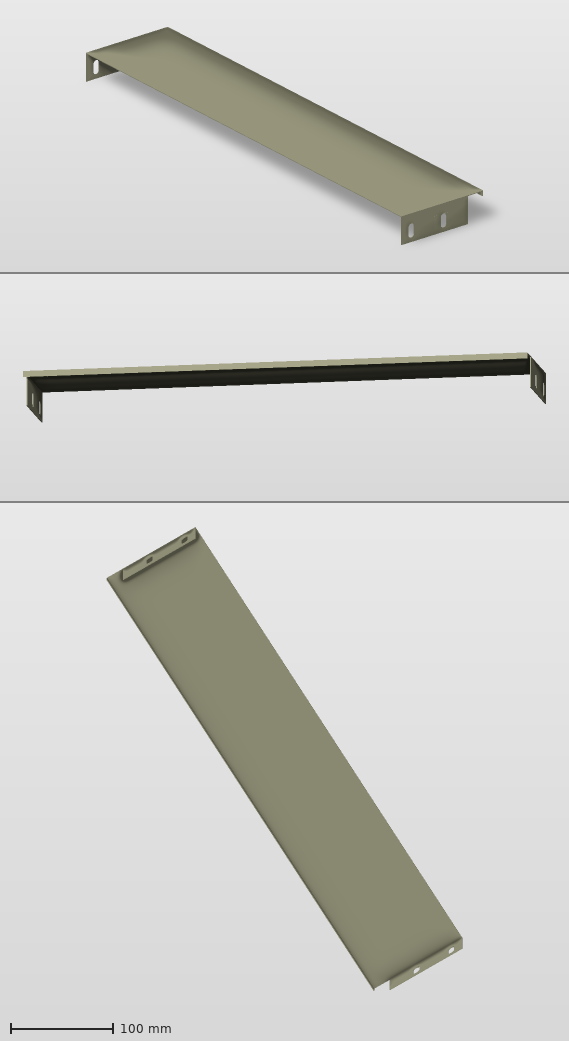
import cadquery as cq

sheet = 0.75
cover_length = 501.5
cover_width = 101.8
total_height = 30.8
lip_height = 6.0

flange_width = 83.0
slot_width = 7.0
slot_height = 15.0
front_slot_y = 12.5
slot_spacing = 40.0
slot_depth_from_top = 18.6

pad_thickness = 0.1
pad_width = 18.4
pad_height = 15.0
pad_centre_y = 50.0

slot_centres_y = (front_slot_y, front_slot_y + slot_spacing)


def block(x, y, z, dx, dy, dz):
    """Box with its lowest corner at (x, y, z)."""
    return cq.Workplane("XY").box(dx, dy, dz, centered=False).translate((x, y, z))


def top_and_lip():
    """Flat top sheet bent down along the rear edge into a short lip."""
    top = block(0, 0, -sheet, cover_length, cover_width, sheet)
    lip = block(0, cover_width - sheet, -lip_height, cover_length, sheet, lip_height)
    return top.union(lip)


def end_flange(x):
    """Vertical flange whose left face is at x."""
    return block(x, 0, -total_height, sheet, flange_width, total_height)


def pad():
    """Raised pad around the rear slot of the right-hand flange."""
    return block(
        cover_length,
        pad_centre_y - pad_width / 2,
        -slot_depth_from_top - pad_height / 2,
        pad_thickness,
        pad_width,
        pad_height,
    )


def slot_cutters():
    """Upright round-ended slots running through both flanges and the pad."""
    return (
        cq.Workplane("YZ")
        .pushPoints([(y, -slot_depth_from_top) for y in slot_centres_y])
        .slot2D(slot_height, slot_width, 90)
        .extrude(cover_length + pad_thickness)
    )


result = (
    top_and_lip()
    .union(end_flange(0))
    .union(end_flange(cover_length - sheet))
    .union(pad())
    .cut(slot_cutters())
)